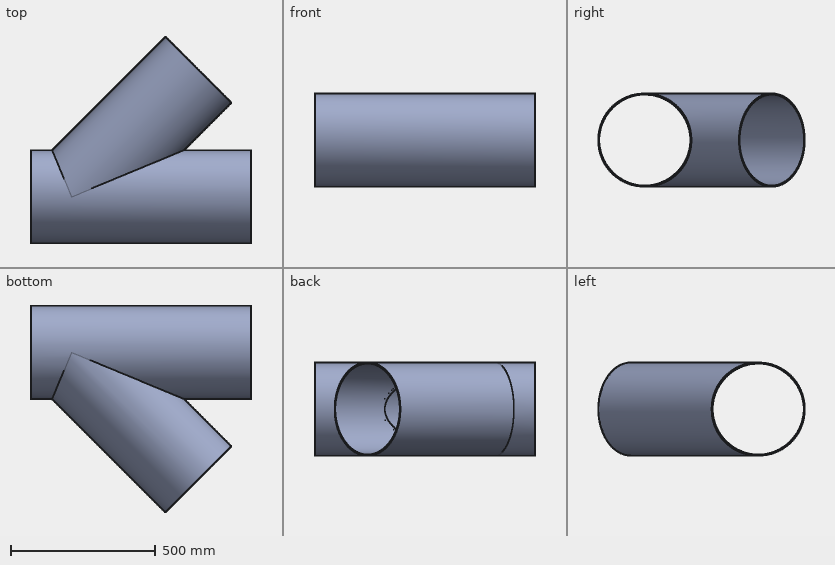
import cadquery as cq

run_length = 762.0
outer_diameter = 324.0
inner_diameter = 315.0
branch_angle = 45.0
branch_length = 622.0
crossing_x = 140.0


def run_cylinder(diameter):
    """Cylinder along X, starting at the YZ plane."""
    return cq.Workplane("YZ").circle(diameter / 2).extrude(run_length)


def branch_cylinder(diameter):
    """Cylinder from the axis crossing, leaning from +X towards +Y."""
    return (
        cq.Workplane("YZ")
        .circle(diameter / 2)
        .extrude(branch_length)
        .rotate((0, 0, 0), (0, 0, 1), branch_angle)
        .translate((crossing_x, 0, 0))
    )


outer_body = run_cylinder(outer_diameter).union(branch_cylinder(outer_diameter))
result = outer_body.cut(run_cylinder(inner_diameter)).cut(branch_cylinder(inner_diameter))